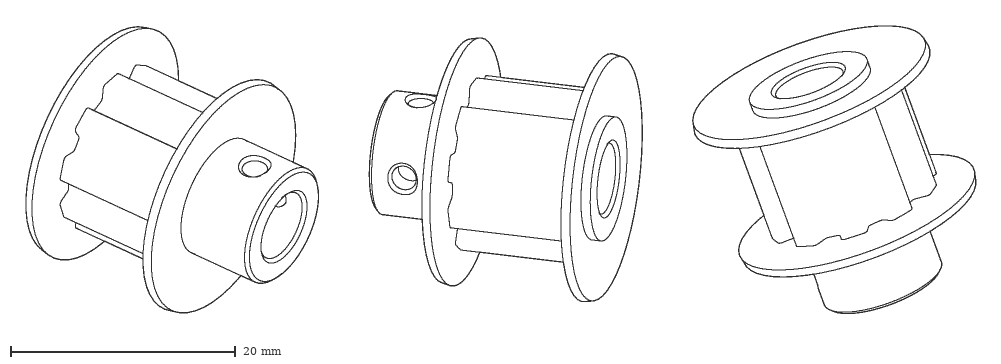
import cadquery as cq
import math

total_length = 20.65
hub_radius = 5.55
hub_chamfer = 0.31
bore_radius = 3.18
bore_chamfer = 0.31

flange_radius = 11.12
flange_bend_radius = 8.0
flange_thickness = 0.8
flange_lean = 0.65
boss_rim_gap = 0.22
belt_width = 10.9

tooth_count = 10
tooth_tip_radius = 7.82
groove_depth = 1.4
groove_floor_width = 1.31
groove_flank_angle = math.radians(25)
tooth_fillet = 0.38

screw_radius = 1.13
screw_x = 17.45
countersink_depth = 0.45
countersink_half_length = 1.38
countersink_half_width = 1.85

belt_start = boss_rim_gap + flange_lean + flange_thickness
belt_middle = belt_start + belt_width / 2


def make_hub():
    hub = cq.Workplane("YZ").circle(hub_radius).extrude(total_length)
    return hub.faces(">X").chamfer(hub_chamfer)


def make_flange():
    """Flange at the boss end; its rim edge is square to the cone."""
    lean_slope = flange_lean / (flange_radius - flange_bend_radius)
    flat_x = belt_start - flange_thickness
    rim_inner_x = belt_start - flange_lean
    rim_outer_x = boss_rim_gap
    rim_outer_radius = flange_radius - (rim_inner_x - rim_outer_x) * lean_slope
    profile = [
        (flat_x, 0),
        (flat_x, flange_bend_radius),
        (rim_outer_x, rim_outer_radius),
        (rim_inner_x, flange_radius),
        (belt_start, flange_bend_radius),
        (belt_start, 0),
    ]
    return cq.Workplane("XY").polyline(profile).close().revolve(360, (0, 0, 0), (1, 0, 0))


def make_teeth():
    half_pitch = math.pi / tooth_count
    root_radius = tooth_tip_radius - groove_depth
    half_floor = groove_floor_width / 2
    root_across = root_radius * math.sin(half_pitch) - half_floor * math.cos(half_pitch)
    root_along = root_radius * math.cos(half_pitch) + half_floor * math.sin(half_pitch)
    flank_lean = groove_flank_angle - half_pitch
    tip_across = root_across - (tooth_tip_radius - root_along) * math.tan(flank_lean)
    tooth = [
        (-root_across, root_along),
        (-tip_across, tooth_tip_radius),
        (tip_across, tooth_tip_radius),
        (root_across, root_along),
    ]
    outline = []
    for index in range(tooth_count):
        turn = 2 * half_pitch * index
        for across, along in tooth:
            y = across * math.cos(turn) + along * math.sin(turn)
            z = along * math.cos(turn) - across * math.sin(turn)
            outline.append((y, z))
    belt_plane = cq.Workplane("YZ", origin=(belt_start, 0, 0))
    ring = belt_plane.polyline(outline).close().extrude(belt_width)
    return ring.edges("|X").fillet(tooth_fillet)


def drill_bore(body):
    body = body.cut(cq.Workplane("YZ").circle(bore_radius).extrude(total_length))
    end_faces = body.faces("<X or >X")
    bore_edges = cq.selectors.RadiusNthSelector(0)
    return end_faces.edges(bore_edges).chamfer(bore_chamfer)


def make_screw_hole():
    """Drill from the axis to +Z, with a countersink that is wider around the hub than along it."""
    hole = cq.Workplane("XY").center(screw_x, 0).circle(screw_radius).extrude(hub_radius)
    countersink = (
        cq.Workplane("XY", origin=(screw_x, 0, hub_radius - countersink_depth))
        .circle(screw_radius)
        .workplane(offset=countersink_depth)
        .ellipse(countersink_half_length, countersink_half_width)
        .loft(ruled=True)
    )
    return hole.union(countersink)


flange = make_flange()
far_flange = flange.mirror("YZ", (belt_middle, 0, 0))
solid_pulley = make_hub().union(make_teeth()).union(flange).union(far_flange)
screw_hole = make_screw_hole()
screw_hole_quarter_turn = screw_hole.rotate((0, 0, 0), (1, 0, 0), -90)
result = drill_bore(solid_pulley).cut(screw_hole).cut(screw_hole_quarter_turn)